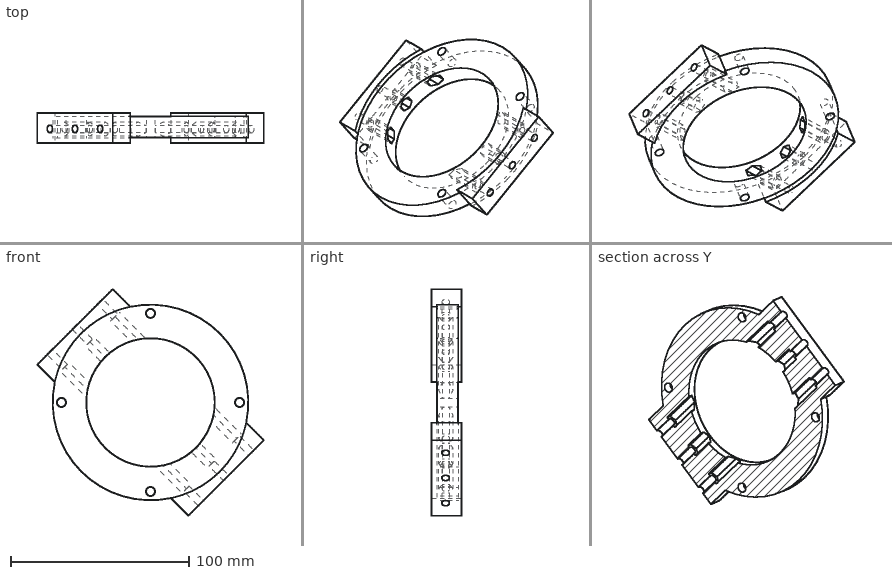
import cadquery as cq
import math

overall = 127.3
pad_thickness = 17.0
ring_front_step = 3.0
ring_thickness = 12.0
ring_diameter = 110.0
bore_diameter = 72.0
face_hole_diameter = 5.0
face_hole_radius = 50.0
face_hole_count = 4
screw_diameter = 4.2
screw_spacing = 20.0
screw_offset = -0.5
nut_corners = 8.0
nut_pocket_end = 48.4

pad_distance = overall * math.sqrt(2) / 3
pad_length = pad_distance
ring_center = -pad_thickness / 2 + ring_front_step + ring_thickness / 2


def disc(diameter, thickness, center_y=0.0):
    """Cylinder along Y, centred at center_y."""
    return (
        cq.Workplane("XZ", origin=(0, center_y, 0))
        .circle(diameter / 2)
        .extrude(thickness / 2, both=True)
    )


def make_ring():
    return disc(ring_diameter, ring_thickness, ring_center)


def make_pads():
    """Pair of opposite flat pads, hollowed out to the ring's outer diameter."""
    block = cq.Workplane("XY").box(2 * pad_distance, pad_thickness, pad_length)
    block = block.rotate((0, 0, 0), (0, 1, 0), 45)
    return block.cut(disc(ring_diameter, pad_thickness))


def make_face_holes():
    return (
        cq.Workplane("XZ")
        .polarArray(face_hole_radius, 0, 360, face_hole_count)
        .circle(face_hole_diameter / 2)
        .extrude(pad_thickness, both=True)
    )


def make_screw_holes():
    """Screw holes through both pads, with nut pockets opening into the bore."""
    places = [(screw_offset, i * screw_spacing) for i in (-1, 0, 1)]
    plane = cq.Workplane("YZ").pushPoints(places)
    screws = plane.circle(screw_diameter / 2).extrude(pad_distance, both=True)
    nuts = plane.polygon(6, nut_corners).extrude(nut_pocket_end, both=True)
    return screws.union(nuts).rotate((0, 0, 0), (0, 1, 0), 45)


result = make_ring().union(make_pads())
result = result.cut(disc(bore_diameter, pad_thickness))
result = result.cut(make_face_holes())
result = result.cut(make_screw_holes())